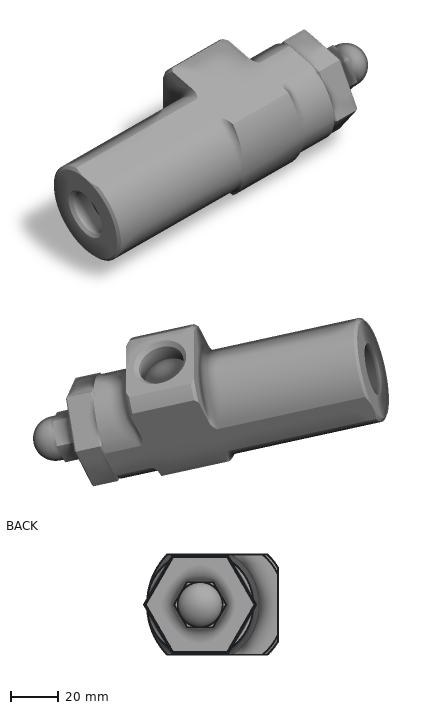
import cadquery as cq
import math

total_length = 151.0
body_radius = 22.5
body_length = 117.0
body_thickness = 42.5
end_chamfer_radial = 1.4
end_chamfer_axial = 1.0

block_center_y = 84.0
block_width = 30.2
block_reach = 32.9
block_flat_end_x = 13.9
corner_x = 4.5
corner_z = 5.6
corner_radius = 24.2
corner_edge_chamfer = 1.4
flare_radius = 2.4

port_diameter = 19.8
end_port_mouth_diameter = 22.6
side_port_mouth_diameter = 23.4
port_depth = 10.0

collar_flats = 41.0
collar_top_y = 129.1
collar_chamfer = 0.6
nut_flats = 19.0
nut_top_y = 139.0
dome_radius = 9.5

half_thickness = body_thickness / 2
block_start_y = block_center_y - block_width / 2
block_end_y = block_center_y + block_width / 2


def plane_at(y):
    """Plane normal to +Y whose local axes are +Z and +X."""
    return cq.Plane(origin=(0, y, 0), xDir=(0, 0, 1), normal=(0, 1, 0))


def hex_prism(flats, start_y, end_y):
    """Hexagon along Y with corners on +X and -X."""
    corner_diameter = flats / math.cos(math.pi / 6)
    hexagon = plane_at(start_y).rotated((0, 0, 90))
    return cq.Workplane(hexagon).polygon(6, corner_diameter).extrude(end_y - start_y)


def block_prism(start_y, end_y):
    """Block section: shallow round corners on the port side, arched on the far side."""
    corner_top_x = -block_reach + corner_x
    face_half_height = half_thickness - corner_z
    return (
        cq.Workplane("XZ", origin=(0, start_y, 0))
        .moveTo(-block_reach, -face_half_height)
        .radiusArc((corner_top_x, -half_thickness), -corner_radius)
        .lineTo(block_flat_end_x, -half_thickness)
        .threePointArc((body_radius, 0), (block_flat_end_x, half_thickness))
        .lineTo(corner_top_x, half_thickness)
        .radiusArc((-block_reach, face_half_height), -corner_radius)
        .close()
        .extrude(start_y - end_y)
    )


def make_body():
    """Round bar with a chamfered free end and flats on +Z and -Z."""
    bar = (
        cq.Workplane("XY")
        .lineTo(body_radius - end_chamfer_radial, 0)
        .lineTo(body_radius, end_chamfer_axial)
        .lineTo(body_radius, body_length)
        .lineTo(0, body_length)
        .close()
        .revolve(360, (0, 0, 0), (0, 1, 0))
    )
    slab = cq.Workplane("XY").box(
        2 * body_radius, body_length, body_thickness, centered=(True, False, True)
    )
    return bar.intersect(slab)


def make_block():
    """Side port block with the end edges of its two round corners chamfered."""
    block = block_prism(block_start_y, block_end_y)
    corner_middle_x = -block_reach + corner_x / 2
    corner_middle_z = half_thickness - corner_z / 2
    for y in (block_start_y, block_end_y):
        for side in (-1, 1):
            edge = cq.selectors.NearestToPointSelector((corner_middle_x, y, side * corner_middle_z))
            block = block.edges(edge).chamfer(corner_edge_chamfer)
    return block


def make_flares():
    """Concave fillets where the block ends meet the round bar."""
    flare_outer = body_radius + flare_radius
    start_y = block_start_y - flare_radius
    end_y = block_end_y + flare_radius
    sag = flare_radius * math.sqrt(0.5)
    ring = (
        cq.Workplane("XY")
        .moveTo(0, start_y)
        .lineTo(body_radius, start_y)
        .threePointArc((flare_outer - sag, start_y + sag), (flare_outer, block_start_y))
        .lineTo(flare_outer, block_end_y)
        .threePointArc((flare_outer - sag, end_y - sag), (body_radius, end_y))
        .lineTo(0, end_y)
        .close()
        .revolve(360, (0, 0, 0), (0, 1, 0))
    )
    return ring.intersect(block_prism(start_y, end_y))


def make_cap():
    """Hexagonal collar, small nut and domed tip."""
    collar = hex_prism(collar_flats, body_length, collar_top_y).faces("<Y or >Y").chamfer(collar_chamfer)
    nut = hex_prism(nut_flats, collar_top_y, nut_top_y)
    dome_center_y = total_length - dome_radius
    stem = cq.Workplane(plane_at(nut_top_y)).circle(dome_radius).extrude(dome_center_y - nut_top_y)
    dome = (
        cq.Workplane("XY")
        .moveTo(0, dome_center_y)
        .lineTo(dome_radius, dome_center_y)
        .radiusArc((0, total_length), -dome_radius)
        .close()
        .revolve(360, (0, 0, 0), (0, 1, 0))
    )
    return collar.union(nut).union(stem).union(dome)


def port_cutter(mouth_plane, mouth_diameter):
    """Blind bore with a 45 degree countersunk mouth, cut along the plane normal."""
    countersink_depth = (mouth_diameter - port_diameter) / 2
    bore = cq.Workplane(mouth_plane).circle(port_diameter / 2).extrude(port_depth)
    mouth = cq.Workplane(mouth_plane).circle(mouth_diameter / 2).extrude(countersink_depth, taper=45)
    return bore.union(mouth)


end_port = port_cutter(plane_at(0), end_port_mouth_diameter)
side_port_plane = cq.Plane(origin=(-block_reach, block_center_y, 0), xDir=(0, 1, 0), normal=(1, 0, 0))
side_port = port_cutter(side_port_plane, side_port_mouth_diameter)

result = make_body().union(make_block()).union(make_flares()).union(make_cap())
result = result.cut(end_port).cut(side_port)